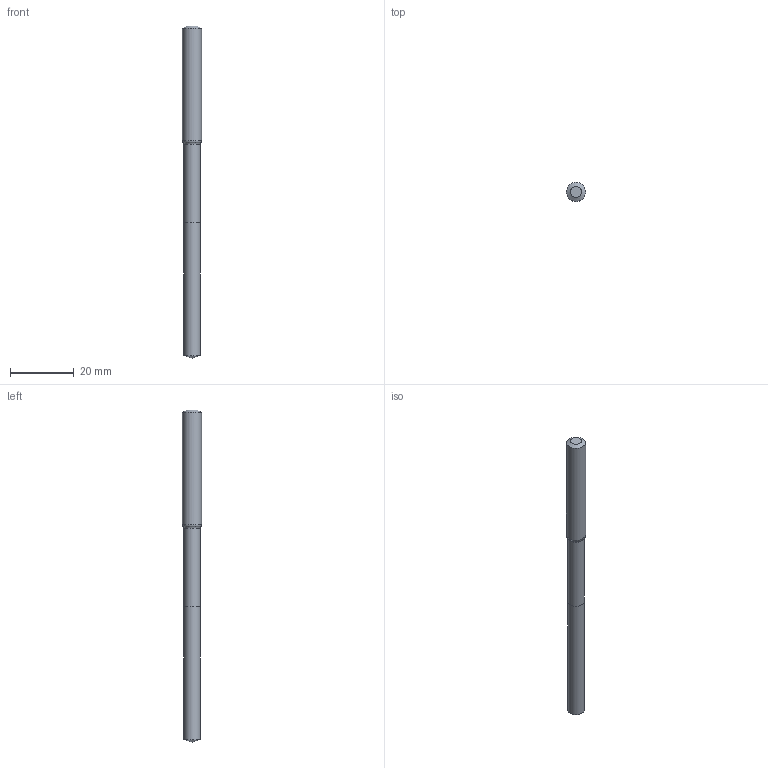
import cadquery as cq
import math

overall_length = 104.0
shank_diameter = 6.0
shank_length = 36.0
drill_diameter = 5.13
point_angle = 147.0
cutting_length = 42.4
end_flat_diameter = 3.5
end_chamfer_angle = 30.0
shoulder_length = 1.1

shank_radius = shank_diameter / 2
drill_radius = drill_diameter / 2
end_flat_radius = end_flat_diameter / 2
point_height = drill_radius / math.tan(math.radians(point_angle / 2))
end_chamfer_height = (shank_radius - end_flat_radius) * math.tan(math.radians(end_chamfer_angle))
chamfer_base_z = overall_length - end_chamfer_height
shoulder_top_z = overall_length - shank_length
shoulder_bottom_z = shoulder_top_z - shoulder_length


def revolve_about_z(outline):
    """Revolve a closed XZ half outline one full turn about the Z axis."""
    return outline.revolve(360, (0, 0, 0), (0, 1, 0))


def make_cutting_section():
    """Plain cylindrical cutting section with a conical point."""
    outline = (
        cq.Workplane("XZ")
        .moveTo(0, 0)
        .lineTo(drill_radius, point_height)
        .lineTo(drill_radius, cutting_length)
        .lineTo(0, cutting_length)
        .close()
    )
    return revolve_about_z(outline)


def make_shank():
    """Neck, shoulder of two tangent arcs, and chamfered shank."""
    step = shank_radius - drill_radius
    middle_radius = (shank_radius + drill_radius) / 2
    middle_z = (shoulder_top_z + shoulder_bottom_z) / 2
    arc_radius = (step**2 + shoulder_length**2) / (4 * step)
    outline = (
        cq.Workplane("XZ")
        .moveTo(0, cutting_length)
        .lineTo(drill_radius, cutting_length)
        .lineTo(drill_radius, shoulder_bottom_z)
        .radiusArc((middle_radius, middle_z), arc_radius)
        .radiusArc((shank_radius, shoulder_top_z), -arc_radius)
        .lineTo(shank_radius, chamfer_base_z)
        .lineTo(end_flat_radius, overall_length)
        .lineTo(0, overall_length)
        .close()
    )
    return revolve_about_z(outline)


cutting_section = make_cutting_section()
shank = make_shank()

result = cq.Compound.makeCompound([cutting_section.val(), shank.val()])